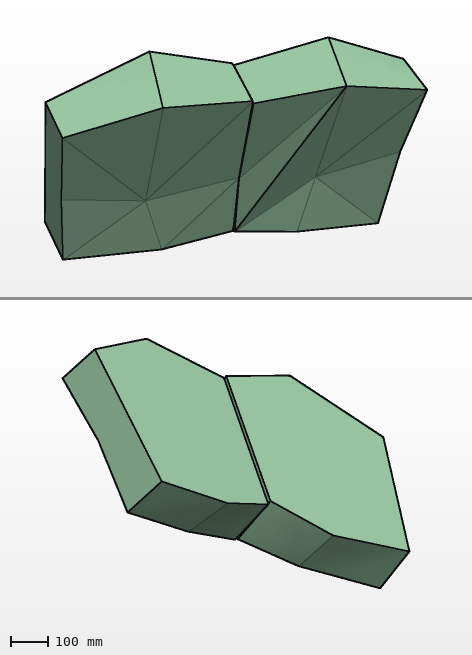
import cadquery as cq


SOUTH_OUTER = {"at_origin": -52.4, "per_y": 0.1085, "per_z": 0.5164}
NORTH_OUTER = {"at_origin": -38.4, "per_y": 0.0132, "per_z": 0.4994}

SEAM = {"at_origin": 25.8, "per_x": -0.0925, "per_z": -0.0974}

SOUTH_SEAM_TOP_Z = 252.0
SOUTH_SEAM_BOTTOM_Z = -190.0
SOUTH_FREE_CORNERS = [(-272.4, 337.0), (-541.5, 211.9), (-423.1, -210.95), (-134.8, -246.2)]
NORTH_SEAM_TOP_Z = 249.3
NORTH_SEAM_BOTTOM_Z = -197.5
NORTH_FREE_CORNERS = [(275.5, 285.4), (544.1, 158.8), (513.5, -275.0), (248.8, -258.3)]

SOUTH_INNER = {
    "seam_top": (193.3, 179.6),
    "seam_middle": (51.8, -87.0),
    "seam_bottom": (-19.9, -265.1),
    "top": (184.9, -284.8, 206.3),
    "end_top": (111.9, -554.9, 146.3),
    "end_middle": (-2.3, -74.2),
    "end_bottom": (-86.1, -280.4),
    "bottom": (-54.6, -148.8, -292.9),
}
NORTH_INNER = {
    "seam_top": (196.5, 174.0),
    "seam_middle": (54.0, -88.0),
    "seam_bottom": (-9.0, -263.5),
    "top": (207.24, 274.0, 176.5),
    "end_top": (156.5, 554.9, 101.0),
    "end_middle": (41.0, -106.0),
    "end_bottom": (-54.0, -336.95),
    "bottom": (-25.1, 254.9, -304.6),
}

CENTRE_OFFSET = cq.Vector(-25.0, 0.0, -42.0)


def on_outer(outer, y, z):
    """Point of an outer face at the given y and z."""
    return cq.Vector(outer["at_origin"] + outer["per_y"] * y + outer["per_z"] * z, y, z)


def on_seam(x, z):
    """Point of the seam plane at the given x and z."""
    return cq.Vector(x, SEAM["at_origin"] + SEAM["per_x"] * x + SEAM["per_z"] * z, z)


def on_outer_and_seam(outer, z):
    """Point at height z on the line where an outer face meets the seam."""
    y_at_zero_x = SEAM["at_origin"] + SEAM["per_z"] * z
    x_at_that_y = outer["at_origin"] + outer["per_y"] * y_at_zero_x + outer["per_z"] * z
    return on_seam(x_at_that_y / (1 - outer["per_y"] * SEAM["per_x"]), z)


def on_plane(a, b, c, x, z):
    """Point at the given x and z on the plane through a, b and c."""
    normal = (b - a).cross(c - a)
    return cq.Vector(x, a.y - (normal.x * (x - a.x) + normal.z * (z - a.z)) / normal.y, z)


def flat_face(*points):
    return cq.Face.makeFromWires(cq.Wire.makePolygon(points, close=True))


def ruled_face(outer_start, outer_end, inner_start, inner_end):
    """Twisted face spanned by straight lines between an outer edge and an inner edge."""
    return cq.Face.makeRuledSurface(
        cq.Edge.makeLine(outer_start, outer_end),
        cq.Edge.makeLine(inner_start, inner_end),
    )


def make_slab(outer, seam_top_z, seam_bottom_z, free_corners, inner, hollow_seam):
    """One slab, closed from its flat faces, twisted walls and triangular facets.

    With a hollow seam, a straight crease from inner corner 1 to 5 bounds the dip at the seam middle.
    Otherwise the dip at the seam runs on into the centre point.
    """
    o0 = on_outer_and_seam(outer, seam_top_z)
    o1, o2, o3, o4 = [on_outer(outer, y, z) for y, z in free_corners]
    o5 = on_outer_and_seam(outer, seam_bottom_z)

    i0 = on_seam(*inner["seam_top"])
    i1 = cq.Vector(*inner["top"])
    i2 = cq.Vector(*inner["end_top"])
    i3 = on_plane(o2, o3, i2, *inner["end_bottom"])
    i4 = cq.Vector(*inner["bottom"])
    i5 = on_seam(*inner["seam_bottom"])

    seam_middle = on_seam(*inner["seam_middle"])
    end_middle = on_plane(o2, o3, i2, *inner["end_middle"])
    centre = (seam_middle + end_middle) * 0.5 + CENTRE_OFFSET

    faces = [
        flat_face(o0, o1, o2, o3, o4, o5),
        flat_face(o2, o3, i3, end_middle, i2),
        flat_face(o5, o0, i0, seam_middle, i5),
    ]

    for outer_start, outer_end, inner_start, inner_end in (
        (o0, o1, i0, i1),
        (o1, o2, i1, i2),
        (o3, o4, i3, i4),
        (o4, o5, i4, i5),
    ):
        faces.append(ruled_face(outer_start, outer_end, inner_start, inner_end))

    if hollow_seam:
        rim = [i1, i2, end_middle, i3, i4, i5]
        seam_corners = [i5, i1, i0]
    else:
        rim = [i0, i1, i2, end_middle, i3, i4, seam_middle]
        seam_corners = [i4, i5]
    for start, end in zip(rim, rim[1:] + rim[:1]):
        faces.append(flat_face(centre, start, end))
    for start, end in zip(seam_corners, seam_corners[1:]):
        faces.append(flat_face(seam_middle, start, end))

    return cq.Solid.makeSolid(cq.Shell.makeShell(faces)).fix()


south_slab = cq.Workplane(
    make_slab(
        SOUTH_OUTER, SOUTH_SEAM_TOP_Z, SOUTH_SEAM_BOTTOM_Z, SOUTH_FREE_CORNERS, SOUTH_INNER, hollow_seam=False
    )
)

north_slab = cq.Workplane(
    make_slab(
        NORTH_OUTER, NORTH_SEAM_TOP_Z, NORTH_SEAM_BOTTOM_Z, NORTH_FREE_CORNERS, NORTH_INNER, hollow_seam=True
    )
)

result = cq.Compound.makeCompound([south_slab.val(), north_slab.val()])